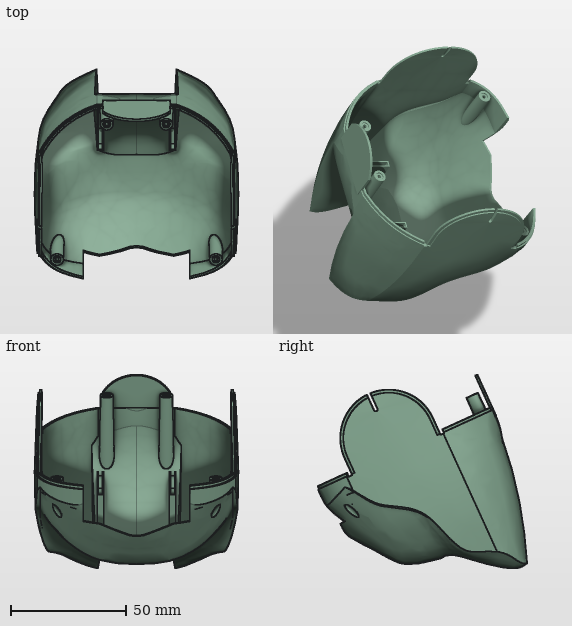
import cadquery as cq

TILT = 24.5
WALL = 1.5
HALF_WALL = WALL / 2
FAR = 182.0

RIM_Z = 12.9
LIP_HEIGHT = 1.4
LIP_INSET = 0.55

BACK_X = 17.3
CORNER_X = 31.7
FRONT_X = 23.1
SHOULDER_SHARE = 0.87
CHEEK_BACK_Y = 15.0
CHEEK_MID_Y = -7.3
CHEEK_FRONT_Y = -30.9

WALL_LEVELS = [
    (41.9, 39.1, 30.2, 41.1, 42.4, 41.5, -38.8, -44.7),
    (27.3, 38.95, 30.2, 42.0, 43.6, 42.6, -38.8, -44.7),
    (12.9, 38.6, 30.0, 42.6, 44.0, 43.1, -38.8, -44.7),
    (-7.3, 37.1, 29.1, 42.5, 44.2, 42.8, -37.3, -43.2),
    (-31.85, 32.5, 24.0, 38.95, 41.3, 40.4, -32.2, -37.1),
    (-60.1, 22.9, 14.2, 28.7, 30.9, 30.9, -27.3, -30.9),
]

FLOOR_EDGE_X = 16.4
FLOOR_MID_X = 29.1
FLOOR_CHEEK_X = 41.9
FLOOR_SIDE_X = 54.6
FLOOR_SIDE_RISE = 5.5
FLOOR_TOP_Z = 54.6

FLOOR_STATIONS = [
    (45.5, -68.25, -67.3, -63.2, -58.2),
    (24.6, -56.4, -55.5, -52.4, -47.8),
    (12.3, -51.9, -51.1, -46.9, -41.3),
    (0.5, -42.1, -41.1, -38.0, -35.5),
    (-6.8, -38.1, -37.2, -30.4, -18.4),
    (-19.1, -35.6, -33.7, -25.9, -8.7),
    (-28.7, -28.85, -26.5, -18.7, 0.9),
    (-37.3, -17.6, -13.8, -5.5, 10.9),
    (-44.6, 0.0, 3.6, 10.0, 20.0),
]

PANEL_BULGE = 0.7
PANEL_BACK_Y = 38.95
PANEL_FRONT_Y = -18.2
PANEL_CURVE = [(PANEL_BACK_Y, 9.1), (37.6, -0.9), (31.5, -13.2), (7.7, -33.7), (PANEL_FRONT_Y, -37.3)]
PANEL_BACK_HALF_WIDTH = 18.2
PANEL_FRONT_HALF_WIDTH = 14.7
PANEL_NORMAL = (-0.8, 0.7)

DISC_Y = -7.4
DISC_Z = 19.1
DISC_RADIUS = 21.1
NOTCH_WIDTH = 1.6
NOTCH_DEPTH = 1.8
DISC_SLOT_WIDTH = 1.55
DISC_SLOT_LENGTH = 8.2

TONGUE_HALF_WIDTH = 14.6
TONGUE_ROOT_Z = 8.4
TONGUE_SIDE_Z = 20.0
TONGUE_TOP_Z = 28.3
TONGUE_THICKNESS = 1.1
TONGUE_BACK_Y = 39.1

OPENING_EDGE = [(FRONT_X, -5.8), (16.1, -6.1), (2.7, -12.2), (0.0, -12.6)]
OPENING_BACK_Y = -25.5

BACK_BOSS = (12.9, 33.3, 21.0)
FRONT_BOSS = (34.5, -35.1, 12.5)
BOSS_RADIUS = 2.7
BOSS_TAPER = 1.0
BOSS_LENGTH = 54.6
PILOT_RADIUS = 0.8
PILOT_DEPTH = 10.9
SEAT_RADIUS = 1.6
SEAT_DEPTH = 0.55
ACCESS_RADIUS = 1.9
ACCESS_TOP_Z = 2.7

RIB_X = 15.65
RIB_WIDTH = 2.8
RIB_TOP_Z = -13.65
RIB_DEPTH = 19.1
RIB_FRONT_Y = 5.1
RIB_END_WALL = 0.55
RIB_SLOT_WIDTH = 1.7
RIB_SLOT_LENGTH = 9.5
RIB_SLOT_DEPTH = 5.5
RIB_GROOVE_DEPTH = 1.4


def mirrored(half):
    """The points of a right half, listed in reverse on the left half."""
    return [(-x, z) for x, z in reversed(half)]


def wall_solid(inset):
    """Solid bounded by the outer wall moved inwards by the inset."""
    solid = cq.Workplane("XY")
    level = 0.0
    for z, back, corner, hw_back, hw_mid, hw_front, shoulder, front in WALL_LEVELS:
        scale_x = 1 - inset / hw_mid
        scale_back = 1 - inset / back
        scale_front = 1 + inset / front
        back_edge = (BACK_X * scale_x, back * scale_back)
        back_middle = (0, (back + PANEL_BULGE) * scale_back)
        corner_point = (CORNER_X * scale_x, corner * scale_back)
        cheek_back = (hw_back * scale_x, CHEEK_BACK_Y * scale_back)
        cheek_mid = (hw_mid * scale_x, CHEEK_MID_Y * scale_front)
        cheek_front = (hw_front * scale_x, CHEEK_FRONT_Y * scale_front)
        nose = [
            (SHOULDER_SHARE * hw_front * scale_x, shoulder * scale_front),
            (FRONT_X * scale_x, front * scale_front),
        ]
        left_back = mirrored([back_edge, corner_point])
        left_cheek = mirrored([cheek_back, cheek_mid, cheek_front])
        solid = (
            solid.workplane(offset=z - level)
            .moveTo(*left_back[1])
            .threePointArc(back_middle, back_edge)
            .spline([corner_point, cheek_back], includeCurrent=True)
            .threePointArc(cheek_mid, cheek_front)
            .spline(nose + mirrored(nose) + [left_cheek[0]], includeCurrent=True)
            .threePointArc(left_cheek[1], left_cheek[2])
            .spline(left_back, includeCurrent=True)
            .close()
        )
        level = z
    return solid.loft(combine=True)


def above_floor(rise):
    """Everything above the underside, with the underside lifted by the rise."""
    solid = cq.Workplane("XZ")
    depth = 0.0
    for y, centre, edge, mid, cheek in FLOOR_STATIONS:
        half = [(FLOOR_EDGE_X, edge + rise), (FLOOR_MID_X, mid + rise), (FLOOR_CHEEK_X, cheek + rise)]
        curve = mirrored(half) + [(0, centre + rise)] + half
        side_z = cheek + rise + FLOOR_SIDE_RISE
        solid = (
            solid.workplane(offset=-y - depth)
            .moveTo(-FLOOR_SIDE_X, FLOOR_TOP_Z)
            .lineTo(-FLOOR_SIDE_X, side_z)
            .lineTo(*curve[0])
            .spline(curve[1:], includeCurrent=True)
            .lineTo(FLOOR_SIDE_X, side_z)
            .lineTo(FLOOR_SIDE_X, FLOOR_TOP_Z)
            .close()
        )
        depth = -y
    return solid.loft(combine=True)


def behind_panel(growth):
    """Open space behind the middle panel and between the tails, widened by the growth."""
    toward_y, toward_z = PANEL_NORMAL
    curve = [(y + growth * toward_y, z + growth * toward_z) for y, z in PANEL_CURVE]
    side = (
        cq.Workplane("YZ")
        .moveTo(FAR, FAR)
        .lineTo(curve[0][0], FAR)
        .lineTo(*curve[0])
        .spline(curve[1:], includeCurrent=True)
        .lineTo(curve[-1][0], -FAR)
        .lineTo(FAR, -FAR)
        .close()
        .extrude(FAR, both=True)
    )
    back_x = PANEL_BACK_HALF_WIDTH + growth
    front_x = PANEL_FRONT_HALF_WIDTH + growth
    half_plan = [(front_x, PANEL_FRONT_Y - growth), (back_x, PANEL_BACK_Y), (back_x, FAR)]
    plan = cq.Workplane("XY").polyline(half_plan + mirrored(half_plan)).close().extrude(FAR, both=True)
    return side.intersect(plan)


def side_profile(inset):
    """Everything below the rim plus the cheek discs, with their edge moved in by the inset."""
    radius = DISC_RADIUS - inset
    below_rim = cq.Workplane("XY").box(FAR, FAR, FAR).translate((0, 0, RIM_Z - inset - FAR / 2))
    disc = (
        cq.Workplane("YZ")
        .moveTo(DISC_Y - radius, 0)
        .lineTo(DISC_Y - radius, DISC_Z)
        .threePointArc((DISC_Y, DISC_Z + radius), (DISC_Y + radius, DISC_Z))
        .lineTo(DISC_Y + radius, 0)
        .close()
        .extrude(FAR / 2, both=True)
    )
    return below_rim.union(disc)


def disc_cutouts():
    """Notches at the foot of each disc and the slot in its top."""
    notch_offset = DISC_RADIUS + NOTCH_WIDTH / 2
    notches = (
        cq.Workplane("XY", origin=(0, 0, RIM_Z - NOTCH_DEPTH))
        .pushPoints([(0, DISC_Y - notch_offset), (0, DISC_Y + notch_offset)])
        .rect(FAR, NOTCH_WIDTH)
        .extrude(FAR)
    )
    slot = (
        cq.Workplane("YZ")
        .center(DISC_Y, DISC_Z + DISC_RADIUS)
        .slot2D(2 * DISC_SLOT_LENGTH, DISC_SLOT_WIDTH, 90)
        .extrude(FAR / 2, both=True)
    )
    return notches.union(slot)


def tongue():
    return (
        cq.Workplane("XZ", origin=(0, TONGUE_BACK_Y, 0))
        .moveTo(-TONGUE_HALF_WIDTH, TONGUE_ROOT_Z)
        .lineTo(-TONGUE_HALF_WIDTH, TONGUE_SIDE_Z)
        .threePointArc((0, TONGUE_TOP_Z), (TONGUE_HALF_WIDTH, TONGUE_SIDE_Z))
        .lineTo(TONGUE_HALF_WIDTH, TONGUE_ROOT_Z)
        .close()
        .extrude(TONGUE_THICKNESS)
    )


def front_opening():
    lower_edge = OPENING_EDGE + mirrored(OPENING_EDGE)[1:]
    outline = lower_edge + [(-FRONT_X, FAR), (FRONT_X, FAR)]
    return cq.Workplane("XZ", origin=(0, OPENING_BACK_Y, 0)).polyline(outline).close().extrude(FAR)


def cylinder(radius, x, y, bottom, top):
    return cq.Workplane("XY", origin=(x, y, bottom)).circle(radius).extrude(top - bottom)


def boss(x, y, top):
    """Boss that widens slightly downwards from its top."""
    mouth = cq.Workplane("XY", origin=(x, y, top)).circle(BOSS_RADIUS)
    return mouth.extrude(-BOSS_LENGTH, taper=-BOSS_TAPER)


def screw_hole(x, y, top):
    """Pilot hole with a shallow seat at its mouth."""
    pilot = cylinder(PILOT_RADIUS, x, y, top - PILOT_DEPTH, top)
    return pilot.union(cylinder(SEAT_RADIUS, x, y, top - SEAT_DEPTH, top))


def rib_bar(x, front, width, length, depth):
    """Bar running back from the given front, hanging from the top level of the ribs."""
    bar = cq.Workplane("XY").box(width, length, depth, centered=(True, False, False))
    return bar.translate((x, front, RIB_TOP_Z - depth))


def rib(x):
    """Rib with a groove along its top and a deeper slot at its front end."""
    length = PANEL_BACK_Y - RIB_FRONT_Y
    slot_front = RIB_FRONT_Y + RIB_END_WALL
    groove = rib_bar(x, slot_front, RIB_SLOT_WIDTH, length, RIB_GROOVE_DEPTH)
    slot = rib_bar(x, slot_front, RIB_SLOT_WIDTH, RIB_SLOT_LENGTH, RIB_SLOT_DEPTH)
    return rib_bar(x, RIB_FRONT_Y, RIB_WIDTH, length, RIB_DEPTH).cut(groove).cut(slot)


outer = wall_solid(0).intersect(above_floor(0))
cavity = wall_solid(WALL).intersect(above_floor(WALL)).cut(behind_panel(WALL))
body = outer.cut(behind_panel(0)).cut(cavity)

lip_step = outer.cut(wall_solid(LIP_INSET)).cut(side_profile(LIP_HEIGHT))
body = body.cut(lip_step).intersect(side_profile(0)).cut(disc_cutouts()).cut(front_opening())

panel_core = behind_panel(HALF_WALL)
wall_core = wall_solid(HALF_WALL).intersect(above_floor(HALF_WALL))
body = body.union(tongue())
for side in (-1, 1):
    back_x, back_y, back_top = BACK_BOSS
    front_x, front_y, front_top = FRONT_BOSS
    body = body.union(boss(side * back_x, back_y, back_top).cut(panel_core))
    body = body.union(boss(side * front_x, front_y, front_top).intersect(wall_core))
    body = body.union(rib(side * RIB_X).cut(panel_core))
    body = body.cut(screw_hole(side * back_x, back_y, back_top))
    body = body.cut(screw_hole(side * front_x, front_y, front_top))
    body = body.cut(cylinder(ACCESS_RADIUS, side * front_x, front_y, -FAR, ACCESS_TOP_Z))

result = body.rotate((0, 0, 0), (1, 0, 0), TILT)